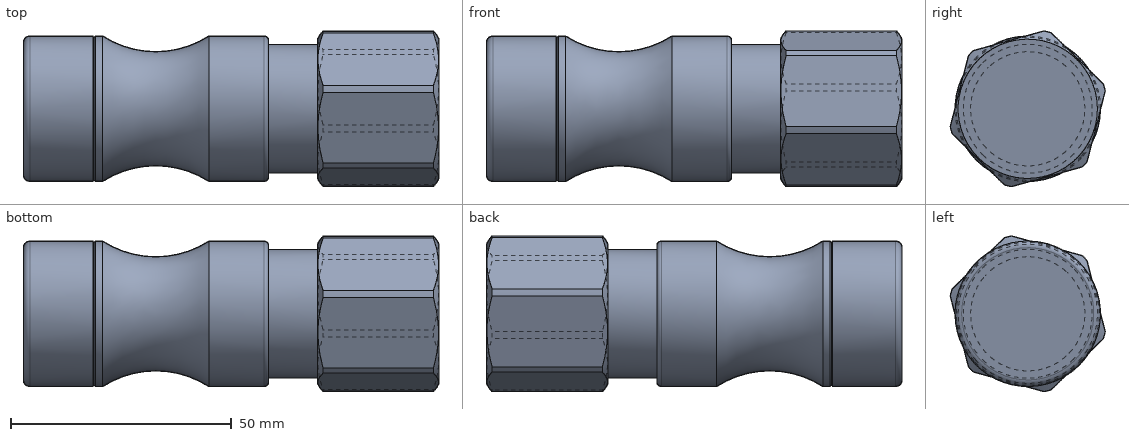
import cadquery as cq
import math

overall_length = 94.2
seam_x = 16.0
waist_start_x = 18.0
waist_end_x = 42.0
sleeve_end_x = 55.6
hex_start_x = 66.6

body_diameter = 33.0
waist_diameter = 25.9
neck_diameter = 29.2
front_fillet = 1.5
rear_fillet = 1.0
seam_width = 0.6
seam_depth = 0.3

across_flats = 32.0
corner_diameter = 36.1
end_face_diameter = 31.6
chamfer_angle = 30.0
hex_tilt = 14.4

body_radius = body_diameter / 2


def revolve_about_x(profile):
    return profile.close().revolve(360, (0, 0, 0), (1, 0, 0))


def make_sleeve():
    """Grip sleeve: a cylinder with a concave waist and rounded ends."""
    waist_middle = ((waist_start_x + waist_end_x) / 2, waist_diameter / 2)
    profile = (
        cq.Workplane("XY")
        .lineTo(0, body_radius)
        .lineTo(waist_start_x, body_radius)
        .threePointArc(waist_middle, (waist_end_x, body_radius))
        .lineTo(sleeve_end_x, body_radius)
        .lineTo(sleeve_end_x, 0)
    )
    sleeve = revolve_about_x(profile)
    sleeve = sleeve.faces("<X").edges().fillet(front_fillet)
    return sleeve.faces(">X").edges().fillet(rear_fillet)


def make_seam_groove():
    """Narrow V-shaped ring removed where the front ring meets the sleeve."""
    profile = (
        cq.Workplane("XY")
        .moveTo(seam_x - seam_width / 2, body_radius)
        .lineTo(seam_x, body_radius - seam_depth)
        .lineTo(seam_x + seam_width / 2, body_radius)
    )
    return revolve_about_x(profile)


def make_neck():
    return (
        cq.Workplane("YZ", origin=(sleeve_end_x, 0, 0))
        .circle(neck_diameter / 2)
        .extrude(hex_start_x - sleeve_end_x)
    )


def make_hex():
    """Hexagon with turned corners and a cone chamfer at both ends."""
    corner_radius = corner_diameter / 2
    end_radius = end_face_diameter / 2
    chamfer_length = (corner_radius - end_radius) * math.tan(math.radians(chamfer_angle))
    prism = (
        cq.Workplane("YZ", origin=(hex_start_x, 0, 0))
        .polygon(6, across_flats / math.cos(math.pi / 6))
        .extrude(overall_length - hex_start_x)
        .rotate((0, 0, 0), (1, 0, 0), 90 - hex_tilt)
    )
    turned_profile = (
        cq.Workplane("XY")
        .moveTo(hex_start_x, 0)
        .lineTo(hex_start_x, end_radius)
        .lineTo(hex_start_x + chamfer_length, corner_radius)
        .lineTo(overall_length - chamfer_length, corner_radius)
        .lineTo(overall_length, end_radius)
        .lineTo(overall_length, 0)
    )
    return prism.intersect(revolve_about_x(turned_profile))


result = make_sleeve().cut(make_seam_groove()).union(make_neck()).union(make_hex())